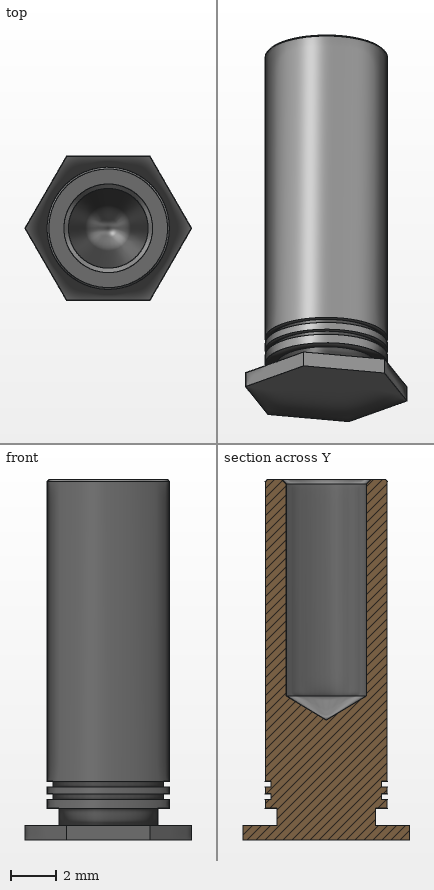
import cadquery as cq
import math

total_height = 15.88
head_across_flats = 6.35
head_across_corners = head_across_flats / math.cos(math.radians(30))
head_thickness = 0.65

barrel_diameter = 5.38
neck_diameter = 4.37
neck_top = 1.4
rim_chamfer = 0.08

groove_diameter = 4.88
groove_width = 0.24
groove_bottoms = (1.8, 2.35)

bore_diameter = 3.51
bore_depth = 9.53
drill_point_angle = 118.0
countersink_diameter = 3.9
countersink_depth = (countersink_diameter - bore_diameter) / 2


def cylinder(diameter, bottom, top):
    """Upright cylinder on the Z axis between two heights."""
    return cq.Workplane("XY").workplane(offset=bottom).circle(diameter / 2).extrude(top - bottom)


def make_head():
    return cq.Workplane("XY").polygon(6, head_across_corners).extrude(head_thickness)


def make_barrel():
    barrel = cylinder(barrel_diameter, neck_top, total_height)
    barrel = barrel.faces(">Z").edges().chamfer(rim_chamfer)
    for bottom in groove_bottoms:
        top = bottom + groove_width
        ring = cylinder(barrel_diameter, bottom, top).cut(cylinder(groove_diameter, bottom, top))
        barrel = barrel.cut(ring)
    return barrel


def make_bore():
    """Solid of revolution for the countersunk bore and its conical end."""
    bore_radius = bore_diameter / 2
    bore_end = total_height - bore_depth
    tip_depth = bore_radius / math.tan(math.radians(drill_point_angle / 2))
    return (
        cq.Workplane("XZ")
        .moveTo(0, total_height)
        .lineTo(countersink_diameter / 2, total_height)
        .lineTo(bore_radius, total_height - countersink_depth)
        .lineTo(bore_radius, bore_end)
        .lineTo(0, bore_end - tip_depth)
        .close()
        .revolve(360, (0, 0, 0), (0, 1, 0))
    )


neck = cylinder(neck_diameter, head_thickness, neck_top)
result = make_head().union(neck).union(make_barrel()).cut(make_bore())